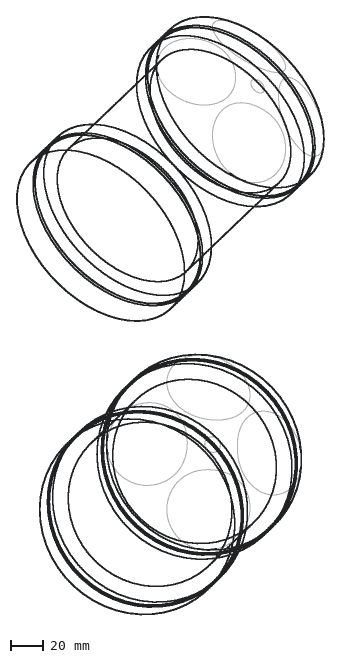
import cadquery as cq
import math

total_length = 174.1
rim_radius = 63.0
tube_radius = 53.0
base_thickness = 18.0
flange_thickness = 10.0
tube_length = 103.0

groove_width = 2.1
groove_depth = 1.0
groove_radius = rim_radius - groove_depth

lower_flange_start = base_thickness + groove_width
tube_start = lower_flange_start + flange_thickness
tube_end = tube_start + tube_length
upper_groove_start = tube_end + flange_thickness
upper_rim_start = upper_groove_start + groove_width
dome_start = upper_rim_start + flange_thickness

crown_radius = 5.0
dome_height = total_length - dome_start
dome_run = rim_radius - crown_radius
dome_arc_radius = (dome_run**2 + dome_height**2) / (2 * dome_height)
dome_rim_angle = math.asin(dome_run / dome_arc_radius)

flat_count = 4
flat_tilt = 21.5
flat_rim_gap = 0.2


def dome_point(angle):
    """Radius and Y of the dome arc where its normal leans from Y by the given angle."""
    radius = crown_radius + dome_arc_radius * math.sin(angle)
    height = total_length - dome_arc_radius * (1 - math.cos(angle))
    return radius, height


def make_turned_body():
    """Turn the flanges, grooves, tube and dome as one solid."""
    profile = (
        cq.Workplane("XY")
        .lineTo(rim_radius, 0)
        .lineTo(rim_radius, base_thickness)
        .lineTo(groove_radius, base_thickness + groove_width / 2)
        .lineTo(rim_radius, lower_flange_start)
        .lineTo(rim_radius, tube_start)
        .lineTo(tube_radius, tube_start)
        .lineTo(tube_radius, tube_end)
        .lineTo(rim_radius, tube_end)
        .lineTo(rim_radius, upper_groove_start)
        .lineTo(groove_radius, upper_groove_start + groove_width / 2)
        .lineTo(rim_radius, upper_rim_start)
        .lineTo(rim_radius, dome_start)
        .threePointArc(dome_point(dome_rim_angle / 2), (crown_radius, total_length))
        .lineTo(0, total_length)
        .close()
    )
    return profile.revolve(360, (0, 0, 0), (0, 1, 0))


def make_flat_cutter():
    """Block whose underside is the sloping plane of the flat on the +X side."""
    gap_angle = flat_rim_gap / dome_arc_radius
    outer_radius, outer_height = dome_point(dome_rim_angle - gap_angle)
    block_width = 2 * rim_radius
    block = cq.Workplane("XY").box(
        block_width, dome_height, block_width, centered=(True, False, True)
    )
    return block.rotate((0, 0, 0), (0, 0, 1), -flat_tilt).translate(
        (outer_radius, outer_height, 0)
    )


result = make_turned_body()
flat_cutter = make_flat_cutter()
for index in range(flat_count):
    turn = index * 360 / flat_count
    result = result.cut(flat_cutter.rotate((0, 0, 0), (0, 1, 0), turn))